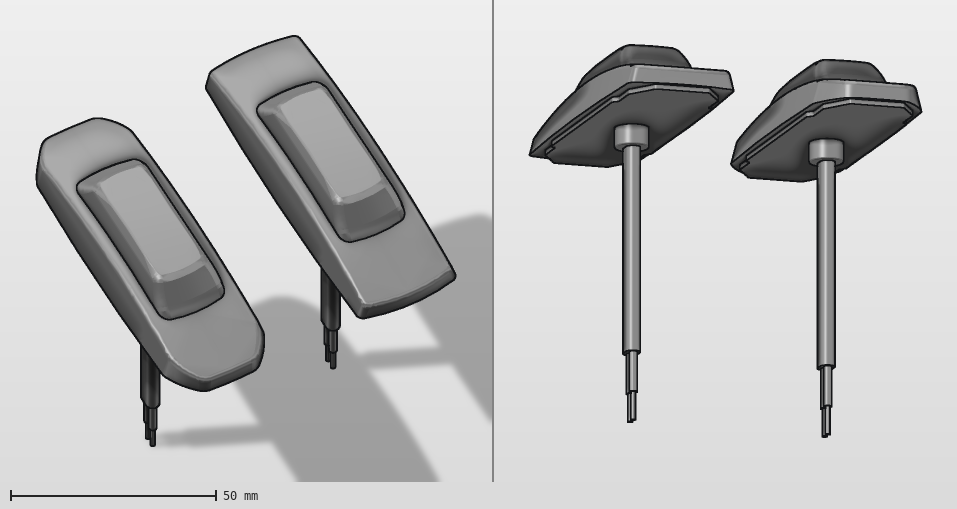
import cadquery as cq
import math

LAMP_SPACING = 49.75
OVERALL_HEIGHT = 90.8
REACH = 54.5
LEVEL_TOLERANCE = 0.1

HOUSING_LENGTH = 84.0
HOUSING_WIDTH = 29.2
HOUSING_BOTTOM = 1.3
HOUSING_TOP = 10.7
CROWN_RADIUS = 172.5
SIDE_RADIUS = 726.3
SIDE_DRAFT = 15.5
END_RADIUS = 48.1
TOP_EDGE_FILLET = 1.45
SQUARE_CORNER_FILLET = 1.8

CUT_END_HALF_WIDTH = 7.2
CUT_END_SAG = 0.3
CUT_LENGTH = 9.1
CUT_BULGE = 0.7
CUT_CORNER_FILLET = 4.1

LENS_TOP = 17.5
LENS_ROOT = 7.5
LENS_CREST_RADIUS = 181.6
LENS_SPARE_HEIGHT = 0.9
LENS_HALF_WIDTH = 9.0
LENS_SHOULDER_HEIGHT = 9.6
LENS_SHOULDER_RADIUS = 12.0
LENS_ROOT_REACH = 24.9
LENS_SLOPE_FOOT_REACH = 22.2
LENS_SLOPE_FOOT_HEIGHT = 11.9
LENS_BEND_REACH = 17.1
LENS_BEND_HEIGHT = 16.7
LENS_BEND_RADIUS = 4.1
LENS_CAP_PITCH = 10.0
LENS_END_RADIUS = 34.5
LENS_CORNER_FILLET = 2.7
LENS_EDGE_FILLET = 0.7

PLINTH_HALF_LENGTH = 40.4
PLINTH_END_HALF_WIDTH = 6.8
PLINTH_SHOULDER_REACH = 33.1
PLINTH_SHOULDER_HALF_WIDTH = 11.4
PLINTH_STEP_REACH = 25.4
PLINTH_WAIST_REACH = 24.1
PLINTH_HALF_WIDTH = 12.8
PLINTH_CORNER_FILLET = 0.7

COLLAR_LENGTH = 9.0
COLLAR_WIDTH = 8.35
COLLAR_DEPTH = 5.0
COLLAR_FILLET = 0.4
CABLE_WIDTH = 5.7
CABLE_THICKNESS = 3.6
CABLE_END = -56.3
CORE_DIAMETER = 2.0
CORE_PITCH = 2.45
CORE_END = -66.3
STRAND_DIAMETER = 1.2
STRAND_END = LENS_TOP - OVERALL_HEIGHT


def sagitta(radius, half_chord):
    return radius - math.sqrt(radius**2 - half_chord**2)


def square_ends():
    """Upright block with bowed ends, wide enough to take in both housing sides."""
    half_length = HOUSING_LENGTH / 2
    half_width = HOUSING_WIDTH / 2
    corner = half_length - sagitta(END_RADIUS, half_width)
    return (
        cq.Workplane("XY")
        .moveTo(-corner, -half_width)
        .lineTo(corner, -half_width)
        .threePointArc((half_length, 0), (corner, half_width))
        .lineTo(-corner, half_width)
        .threePointArc((-half_length, 0), (-corner, -half_width))
        .close()
        .extrude(HOUSING_TOP)
    )


def cut_corner_wire(height):
    """Outline with bowed corner cuts that meet the drafted sides at this height."""
    half_length = HOUSING_LENGTH / 2
    half_width = HOUSING_WIDTH / 2
    end = half_length - CUT_END_SAG
    shoulder = end - CUT_LENGTH
    inset = (height - HOUSING_BOTTOM) * math.tan(math.radians(SIDE_DRAFT))
    cut_half_width = half_width - sagitta(SIDE_RADIUS, shoulder) - inset
    cut_rise = cut_half_width - CUT_END_HALF_WIDTH
    chord = math.hypot(CUT_LENGTH, cut_rise)
    bow_x = (end + shoulder) / 2 + CUT_BULGE * cut_rise / chord
    bow_y = (CUT_END_HALF_WIDTH + cut_half_width) / 2 + CUT_BULGE * CUT_LENGTH / chord
    return (
        cq.Workplane("XY", origin=(0, 0, height))
        .moveTo(-shoulder, -cut_half_width)
        .lineTo(-shoulder, -half_width)
        .lineTo(shoulder, -half_width)
        .lineTo(shoulder, -cut_half_width)
        .threePointArc((bow_x, -bow_y), (end, -CUT_END_HALF_WIDTH))
        .threePointArc((half_length, 0), (end, CUT_END_HALF_WIDTH))
        .threePointArc((bow_x, bow_y), (shoulder, cut_half_width))
        .lineTo(shoulder, half_width)
        .lineTo(-shoulder, half_width)
        .lineTo(-shoulder, cut_half_width)
        .threePointArc((-bow_x, bow_y), (-end, CUT_END_HALF_WIDTH))
        .threePointArc((-half_length, 0), (-end, -CUT_END_HALF_WIDTH))
        .threePointArc((-bow_x, -bow_y), (-shoulder, -cut_half_width))
        .close()
        .val()
    )


def cut_corner_ends():
    """Block with upright ends whose corner cuts lean in towards the drafted sides."""
    wires = [cut_corner_wire(height) for height in (HOUSING_BOTTOM, HOUSING_TOP)]
    return cq.Workplane(cq.Solid.makeLoft(wires, True))


def crowned_slab(crest, radius, width):
    """Solid from Z = 0 up to a top that curves along X."""
    edge = crest - sagitta(radius, REACH)
    return (
        cq.Workplane("XZ")
        .moveTo(-REACH, 0)
        .lineTo(REACH, 0)
        .lineTo(REACH, edge)
        .threePointArc((0, crest), (-REACH, edge))
        .close()
        .extrude(width / 2, both=True)
    )


def drafted_sides():
    """Solid between the two long, curved and drafted housing sides."""
    half_width = HOUSING_WIDTH / 2
    corner = half_width - sagitta(SIDE_RADIUS, REACH)
    return (
        cq.Workplane("XY", origin=(0, 0, HOUSING_BOTTOM))
        .moveTo(-REACH, -corner)
        .threePointArc((0, -half_width), (REACH, -corner))
        .lineTo(REACH, corner)
        .threePointArc((0, half_width), (-REACH, corner))
        .close()
        .extrude(HOUSING_TOP, taper=SIDE_DRAFT)
    )


def is_upright_corner(edge):
    """Whether the edge is one of the steep ones between the walls of a housing."""
    box = edge.BoundingBox()
    return abs(edge.startPoint().z - edge.endPoint().z) > TOP_EDGE_FILLET and box.xlen < box.zlen


def housing(ends, corner_fillet):
    body = drafted_sides().intersect(ends)
    body = body.intersect(crowned_slab(HOUSING_TOP, CROWN_RADIUS, HOUSING_WIDTH))
    body = body.edges().filter(is_upright_corner).fillet(corner_fillet)
    return body.faces(">Z").edges().fillet(TOP_EDGE_FILLET)


def is_lens_bend(edge):
    box = edge.BoundingBox()
    return box.zlen < LEVEL_TOLERANCE and abs(box.zmax - LENS_BEND_HEIGHT) < LEVEL_TOLERANCE


def lens_end():
    """Solid of revolution that gives the +X end of the lens its curved plan and sloping face."""
    axis = LENS_ROOT_REACH - LENS_END_RADIUS
    bend_radius = LENS_BEND_REACH - axis
    cap_height = LENS_BEND_HEIGHT + bend_radius * math.tan(math.radians(LENS_CAP_PITCH))
    body = (
        cq.Workplane("XZ")
        .moveTo(0, LENS_ROOT)
        .lineTo(0, cap_height)
        .lineTo(bend_radius, LENS_BEND_HEIGHT)
        .lineTo(LENS_SLOPE_FOOT_REACH - axis, LENS_SLOPE_FOOT_HEIGHT)
        .tangentArcPoint((LENS_END_RADIUS, LENS_ROOT), relative=False)
        .close()
        .revolve(360, (0, 0), (0, 1))
    )
    body = body.edges().filter(is_lens_bend).fillet(LENS_BEND_RADIUS)
    return body.translate((axis, 0, 0))


def lens_section():
    """Prism along +X with upright feet that run into rounded shoulders."""
    ceiling = LENS_TOP + LENS_SPARE_HEIGHT
    rise = ceiling - LENS_SHOULDER_HEIGHT
    ceiling_half_width = LENS_HALF_WIDTH - sagitta(LENS_SHOULDER_RADIUS, rise)
    return (
        cq.Workplane("YZ")
        .moveTo(-LENS_HALF_WIDTH, LENS_ROOT)
        .lineTo(LENS_HALF_WIDTH, LENS_ROOT)
        .lineTo(LENS_HALF_WIDTH, LENS_SHOULDER_HEIGHT)
        .radiusArc((ceiling_half_width, ceiling), -LENS_SHOULDER_RADIUS)
        .lineTo(-ceiling_half_width, ceiling)
        .radiusArc((-LENS_HALF_WIDTH, LENS_SHOULDER_HEIGHT), -LENS_SHOULDER_RADIUS)
        .close()
        .extrude(REACH)
    )


def is_lens_corner(edge):
    """Whether the edge lies between the end and a long side of the lens."""
    box = edge.BoundingBox()
    return box.ylen < LENS_HALF_WIDTH and box.zlen > LEVEL_TOLERANCE and box.xmax > LEVEL_TOLERANCE


def is_lens_top_edge(edge):
    box = edge.BoundingBox()
    return box.xlen > LENS_HALF_WIDTH and box.zmax > LENS_TOP - LEVEL_TOLERANCE


def lens():
    half = lens_section().intersect(lens_end())
    half = half.edges().filter(is_lens_corner).fillet(LENS_CORNER_FILLET)
    body = half.union(half.mirror("YZ"))
    body = body.intersect(crowned_slab(LENS_TOP, LENS_CREST_RADIUS, HOUSING_WIDTH))
    return body.edges().filter(is_lens_top_edge).fillet(LENS_EDGE_FILLET)


def plinth():
    corners = [
        (PLINTH_HALF_LENGTH, PLINTH_END_HALF_WIDTH),
        (PLINTH_SHOULDER_REACH, PLINTH_SHOULDER_HALF_WIDTH),
        (PLINTH_STEP_REACH, PLINTH_SHOULDER_HALF_WIDTH),
        (PLINTH_WAIST_REACH, PLINTH_HALF_WIDTH),
    ]
    outline = corners + [(-x, y) for x, y in reversed(corners)]
    outline += [(-x, -y) for x, y in outline]
    block = cq.Workplane("XY").polyline(outline).close().extrude(HOUSING_BOTTOM)
    return block.edges("|Z").fillet(PLINTH_CORNER_FILLET)


def collar():
    body = cq.Workplane("XY").ellipse(COLLAR_LENGTH / 2, COLLAR_WIDTH / 2).extrude(-COLLAR_DEPTH)
    return body.faces("<Z").edges().fillet(COLLAR_FILLET)


def cable():
    body = cq.Workplane("XY").slot2D(CABLE_WIDTH, CABLE_THICKNESS).extrude(CABLE_END)
    for x in (-CORE_PITCH / 2, CORE_PITCH / 2):
        body = body.union(cq.Workplane("XY").center(x, 0).circle(CORE_DIAMETER / 2).extrude(CORE_END))
        body = body.union(cq.Workplane("XY").center(x, 0).circle(STRAND_DIAMETER / 2).extrude(STRAND_END))
    return body


def lamp(ends, corner_fillet, y):
    body = housing(ends, corner_fillet).union(lens()).union(plinth()).union(collar()).union(cable())
    return body.translate((0, y, 0))


square_lamp = lamp(square_ends(), SQUARE_CORNER_FILLET, LAMP_SPACING / 2)
cut_lamp = lamp(cut_corner_ends(), CUT_CORNER_FILLET, -LAMP_SPACING / 2)

result = cq.Compound.makeCompound([square_lamp.val(), cut_lamp.val()])